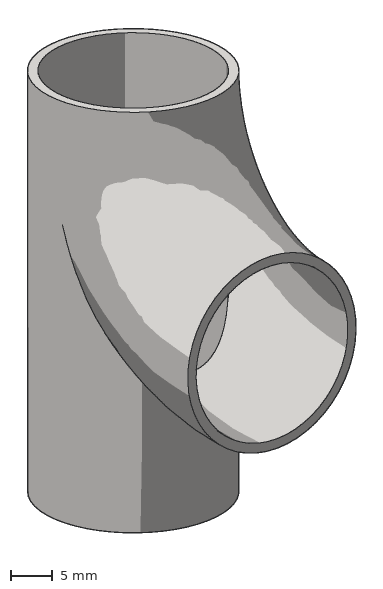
import cadquery as cq

run_length = 55.0
outer_diameter = 25.4
bore_diameter = 22.9
bend_radius = run_length / 2


def straight_pipe():
    """Hollow run along Z, standing on the XY plane."""
    return cq.Workplane("XY").circle(outer_diameter / 2).circle(bore_diameter / 2).extrude(run_length)


def bent_pipe():
    """Hollow quarter bend from the top of the run round to an outlet facing +X."""
    return (
        cq.Workplane("XY", origin=(0, 0, run_length))
        .circle(outer_diameter / 2)
        .circle(bore_diameter / 2)
        .revolve(90, (bend_radius, 0, 0), (bend_radius, -1, 0))
    )


def branch_region():
    """Region on the branch side of the seam between the two pipes.

    Pipes of equal diameter meet where their centrelines are equally far away.
    For a line and an arc tangent to it, that seam is a parabola in the XZ plane:
    depth ** 2 = 4 * bend_radius * x, with depth measured down from the top.
    A three-point Bezier curve reproduces it exactly.
    """
    seam_depth = 2 * bend_radius
    seam = [
        (0, run_length),
        (0, run_length - seam_depth / 2),
        (bend_radius, run_length - seam_depth),
    ]
    return (
        cq.Workplane("XZ")
        .moveTo(*seam[0])
        .bezier(seam)
        .lineTo(bend_radius, run_length)
        .close()
        .extrude(outer_diameter, both=True)
    )


run = straight_pipe().cut(branch_region())
branch = bent_pipe().intersect(branch_region())
result = run.union(branch)